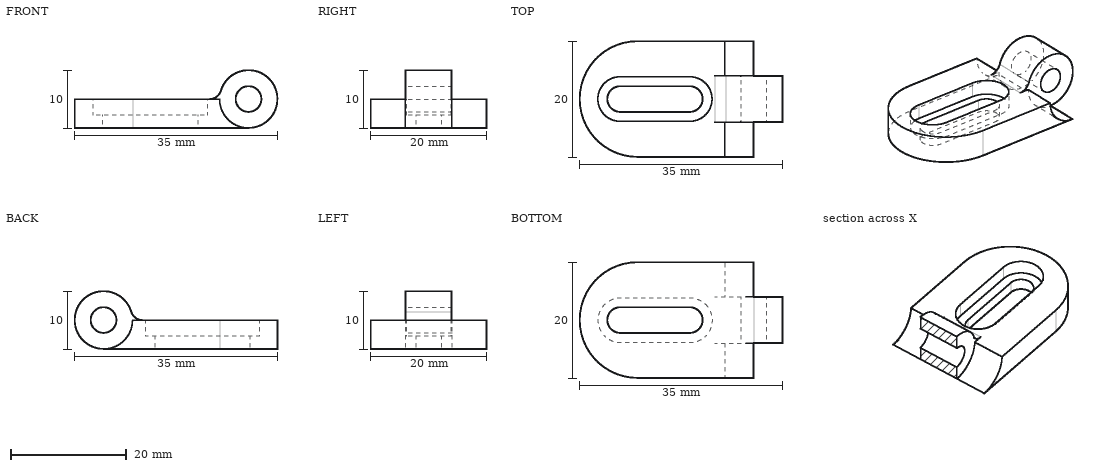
import cadquery as cq
import math

plate_width = 20.0
plate_thickness = 5.0
end_radius = plate_width / 2

pivot_x = 30.0
knuckle_radius = plate_thickness
knuckle_width = 8.0
pin_diameter = 4.4
root_fillet_radius = 2.0

slot_start_x = 7.0
slot_end_x = 19.0
slot_width = 4.4
recess_width = 7.7
recess_depth = 2.7


def y_cylinder(radius, width):
    """Cylinder on the pivot axis, centred on Y = 0."""
    return cq.Workplane("XZ").center(pivot_x, 0).circle(radius).extrude(width / 2, both=True)


def make_plate():
    """Leaf with a round end, hollowed along the pivot axis to clear the mating knuckles."""
    outline = (
        cq.Workplane("XY")
        .moveTo(pivot_x, -end_radius)
        .lineTo(end_radius, -end_radius)
        .threePointArc((0, 0), (end_radius, end_radius))
        .lineTo(pivot_x, end_radius)
        .close()
    )
    leaf = outline.extrude(-plate_thickness)
    return leaf.cut(y_cylinder(knuckle_radius, plate_width))


def make_root_fillet():
    """Concave fillet blending the plate's top face into the knuckle."""
    centre_distance = knuckle_radius + root_fillet_radius
    fillet_x = pivot_x - math.sqrt(centre_distance**2 - root_fillet_radius**2)
    fillet_z = root_fillet_radius

    share = knuckle_radius / centre_distance
    tangent_point = (pivot_x + share * (fillet_x - pivot_x), share * fillet_z)

    pivot_angle = math.atan2(-fillet_z, pivot_x - fillet_x)
    middle_angle = (pivot_angle - math.pi / 2) / 2
    middle_point = (
        fillet_x + root_fillet_radius * math.cos(middle_angle),
        fillet_z + root_fillet_radius * math.sin(middle_angle),
    )
    return (
        cq.Workplane("XZ")
        .moveTo(fillet_x, 0)
        .threePointArc(middle_point, tangent_point)
        .lineTo(pivot_x, 0)
        .close()
        .extrude(knuckle_width / 2, both=True)
    )


def make_slot(width, depth):
    """Round-ended slot cut down from the plate's top face."""
    middle_x = (slot_start_x + slot_end_x) / 2
    length = slot_end_x - slot_start_x + width
    return cq.Workplane("XY").center(middle_x, 0).slot2D(length, width).extrude(-depth)


knuckle = y_cylinder(knuckle_radius, knuckle_width)
pin_hole = y_cylinder(pin_diameter / 2, knuckle_width)

result = (
    make_plate()
    .union(knuckle)
    .union(make_root_fillet())
    .cut(pin_hole)
    .cut(make_slot(slot_width, plate_thickness))
    .cut(make_slot(recess_width, recess_depth))
)